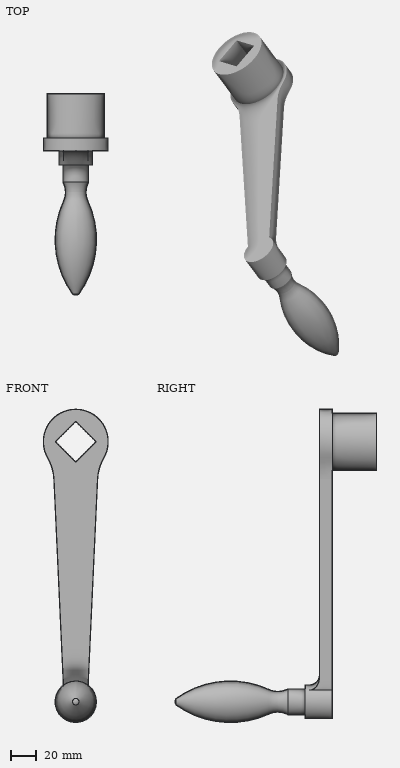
import cadquery as cq
import math


head_radius = 25.0
hub_diameter = 44.0
hub_length = 34.0
square_side = 22.0

arm_thickness = 10.0
arm_length = 200.0
arm_end_half_width = 9.0
neck_radius = 36.0
neck_angle = math.radians(30)

boss_diameter = 26.0
boss_length = 21.0
boss_fillet = 7.5

handle_length = 100.0
collar_radius = 10.0
collar_length = 13.0
waist_radius = 8.0
waist_position = 21.0
waist_arc_radius = 16.5
body_radius = 16.0
body_position = 57.5
tip_radius = 2.5


def mirror_x(point):
    return (-point[0], point[1])


def arm_outline():
    """Head circle, two neck arcs and the tapered sides, as (X, Z) points."""
    center_x = (head_radius + neck_radius) * math.cos(neck_angle)
    center_z = -(head_radius + neck_radius) * math.sin(neck_angle)
    arc_start = (head_radius * math.cos(neck_angle), -head_radius * math.sin(neck_angle))

    dx = center_x - arm_end_half_width
    dz = center_z + arm_length
    distance = math.hypot(dx, dz)
    side_angle = math.atan2(dz, dx) + math.asin(neck_radius / distance)
    side_length = math.sqrt(distance**2 - neck_radius**2)
    arm_end = (arm_end_half_width, -arm_length)
    arc_end = (
        arm_end[0] + side_length * math.cos(side_angle),
        arm_end[1] + side_length * math.sin(side_angle),
    )

    start_direction = math.pi - neck_angle
    end_direction = side_angle + math.pi / 2
    middle_direction = (start_direction + end_direction) / 2
    arc_middle = (
        center_x + neck_radius * math.cos(middle_direction),
        center_z + neck_radius * math.sin(middle_direction),
    )

    return (
        cq.Workplane("XZ")
        .moveTo(*arm_end)
        .lineTo(*arc_end)
        .threePointArc(arc_middle, arc_start)
        .threePointArc((0, head_radius), mirror_x(arc_start))
        .threePointArc(mirror_x(arc_middle), mirror_x(arc_end))
        .lineTo(*mirror_x(arm_end))
        .close()
    )


def make_arm_with_boss():
    arm = arm_outline().extrude(arm_thickness)
    boss = (
        cq.Workplane("XZ")
        .center(0, -arm_length)
        .circle(boss_diameter / 2)
        .extrude(boss_length)
    )
    seam = cq.selectors.NearestToPointSelector(
        (0, -arm_thickness, -arm_length + boss_diameter / 2)
    )
    return arm.union(boss).edges(seam).fillet(boss_fillet)


def make_hub():
    return cq.Workplane("XZ").circle(hub_diameter / 2).extrude(-hub_length)


def make_square_socket():
    return (
        cq.Workplane("XZ", origin=(0, hub_length, 0))
        .transformed(rotate=(0, 0, 45))
        .rect(square_side, square_side)
        .extrude(hub_length + arm_thickness)
    )


def make_handle():
    """Turned profile, as (radius, position) points, revolved about the handle axis."""
    spacing = body_position - waist_position
    rise = body_radius - waist_radius
    radius_sum = (spacing**2 + rise**2) / (2 * rise)
    body_arc_radius = radius_sum - waist_arc_radius
    joint_angle = math.asin(spacing / radius_sum)

    def waist_point(arc_radius, angle):
        radius = waist_radius + arc_radius * (1 - math.cos(angle))
        return (radius, waist_position + arc_radius * math.sin(angle))

    joint = waist_point(waist_arc_radius, joint_angle)
    joint_middle = waist_point(waist_arc_radius, joint_angle / 2)

    run = waist_position - collar_length
    climb = collar_radius - waist_radius
    collar_arc_radius = (run**2 + climb**2) / (2 * climb)
    collar_angle = math.asin(run / collar_arc_radius)
    collar_middle = waist_point(collar_arc_radius, -collar_angle / 2)

    tip_drop = body_arc_radius - body_radius + tip_radius
    tip_edge = body_position + math.sqrt(body_arc_radius**2 - tip_drop**2)

    dome_height = handle_length - tip_edge
    dome_radius = (tip_radius**2 + dome_height**2) / (2 * dome_height)
    dome_angle = math.asin(tip_radius / dome_radius)
    dome_middle = (
        dome_radius * math.sin(dome_angle / 2),
        handle_length - dome_radius * (1 - math.cos(dome_angle / 2)),
    )

    handle_plane = cq.Plane(
        origin=(0, -boss_length, -arm_length), xDir=(0, 0, 1), normal=(1, 0, 0)
    )
    profile = (
        cq.Workplane(handle_plane)
        .lineTo(collar_radius, 0)
        .lineTo(collar_radius, collar_length)
        .threePointArc(collar_middle, (waist_radius, waist_position))
        .threePointArc(joint_middle, joint)
        .threePointArc((body_radius, body_position), (tip_radius, tip_edge))
        .threePointArc(dome_middle, (0, handle_length))
        .close()
    )
    return profile.revolve(360, (0, 0, 0), (0, 1, 0))


result = (
    make_arm_with_boss()
    .union(make_hub())
    .union(make_handle())
    .cut(make_square_socket())
)